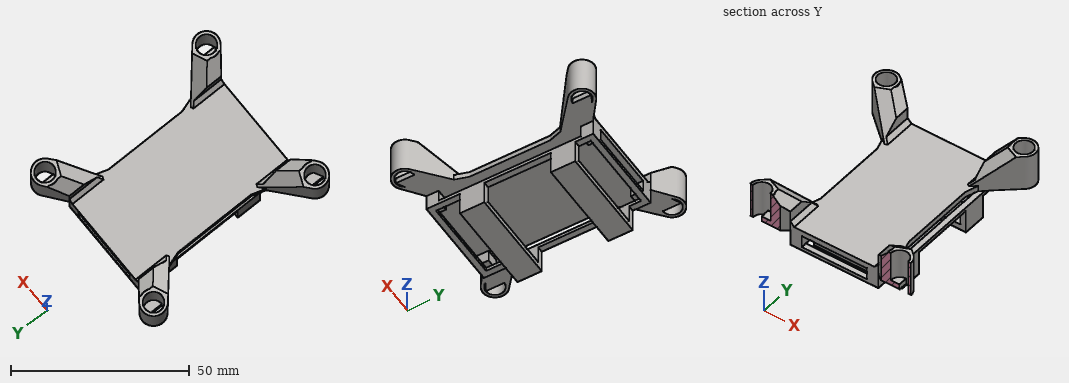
import cadquery as cq
import math

tray_width = 30.7
tray_length = 54.7
plate_thickness = 2.0
slot_height = 4.0
frame_thickness = 1.25
post_size = 4.0
rail_width = 2.0

strap_length = 8.0
strap_drop = 8.0
strap_wall = 2.0
rear_strap_inset = 5.9
strap_spacing = 29.8

overall_width = 56.1
overall_length = 66.1
tube_diameter = 8.0
tube_radius = tube_diameter / 2
hole_diameter = 6.0
tube_height = 12.0
arm_crest_offset = 3.7
arm_crest_setback = 2.8
arm_crest_skew = 0.43
arm_foot_x = 9.25
arm_foot_y = 13.2
strip_width = 1.4
web_start_y = 11.45
web_end_y = 15.85
web_overhang = 1.4

frame_bottom = strap_drop
slot_bottom = frame_bottom + frame_thickness
plate_bottom = slot_bottom + slot_height
plate_top = plate_bottom + plate_thickness
tube_top = plate_bottom + tube_height

tube_x = overall_width / 2 - tube_radius
tube_y = overall_length / 2 - tube_radius
edge_x = tray_width / 2
edge_y = tray_length / 2
strip_x = edge_x - strip_width
foot = (tube_x - arm_foot_x, tube_y - arm_foot_y)


def block(width, length, bottom, top):
    """Box centred on the Z axis between two heights."""
    return cq.Workplane("XY").workplane(offset=bottom).rect(width, length).extrude(top - bottom)


def make_tray():
    tray = block(tray_width, tray_length, frame_bottom, plate_top)
    tray = tray.cut(block(tray_width - 2 * post_size, tray_length, slot_bottom, plate_bottom))
    tray = tray.cut(block(tray_width, tray_length - 2 * post_size, slot_bottom, plate_bottom))
    opening_width = tray_width - 2 * rail_width
    opening_length = tray_length - 2 * rail_width
    opening = block(opening_width, opening_length, frame_bottom, slot_bottom)
    return tray.cut(opening)


def make_strap(center_y):
    strap = block(tray_width, strap_length, 0, frame_bottom)
    strap = strap.cut(block(tray_width - 2 * strap_wall, strap_length, strap_wall, frame_bottom))
    return strap.translate((0, center_y, 0))


def tangent_point(point, side):
    """Point where the line from the given point touches the tube, on the chosen side."""
    dx = point[0] - tube_x
    dy = point[1] - tube_y
    angle = math.atan2(dy, dx) + side * math.acos(tube_radius / math.hypot(dx, dy))
    return (tube_x + tube_radius * math.cos(angle), tube_y + tube_radius * math.sin(angle))


def make_arm():
    """Arm from the tube to the plate edge, with its top cut to the slopes."""
    outline = [
        tangent_point((edge_x, edge_y), -1),
        (edge_x, edge_y),
        (strip_x, edge_y),
        (strip_x, foot[1]),
        foot,
        tangent_point(foot, 1),
        (tube_x, tube_y),
    ]
    arm = cq.Workplane("XY").workplane(offset=plate_bottom).polyline(outline).close().extrude(tube_height)

    crest_x = tube_x - arm_crest_offset
    profile = [
        (crest_x, tube_top),
        (edge_x, tube_top - (crest_x - edge_x)),
        (edge_x, plate_top + strip_width),
        (strip_x, plate_top),
        (0, plate_top),
        (0, tube_top),
    ]
    clearance = cq.Workplane("XZ").polyline(profile).close().extrude(overall_length, both=True)
    arm = arm.cut(clearance)

    crest = cq.Vector(crest_x, tube_y - arm_crest_setback, tube_top)
    crest_edge = cq.Vector(1, -arm_crest_skew, 0)
    descent = cq.Vector(foot[0], foot[1], plate_top) - crest
    normal = crest_edge.cross(descent)
    if normal.z < 0:
        normal = -normal
    slope = cq.Plane(origin=crest, xDir=crest_edge, normal=normal)
    above = cq.Workplane(slope).rect(overall_length, overall_length).extrude(overall_length)
    return arm.cut(above)


def make_web():
    """Plate-thick web under the arm; it also closes the inner half of the hole."""
    outline = [
        (tube_x, tube_y + hole_diameter / 2),
        (edge_x, edge_y),
        (strip_x, edge_y),
        (strip_x, tube_y - web_end_y),
        (edge_x, tube_y - web_end_y),
        (edge_x + web_overhang, tube_y - web_start_y),
        (tube_x, tube_y - hole_diameter / 2),
    ]
    return cq.Workplane("XY").workplane(offset=plate_bottom).polyline(outline).close().extrude(plate_thickness)


def make_corner():
    base = cq.Workplane("XY", origin=(tube_x, tube_y, plate_bottom))
    tube = base.circle(tube_radius).extrude(tube_height)
    hole = base.circle(hole_diameter / 2).extrude(tube_height)
    return make_arm().union(tube).cut(hole).union(make_web())


result = make_tray()
rear_strap_y = edge_y - rear_strap_inset - strap_length / 2
for center_y in (rear_strap_y, rear_strap_y - strap_spacing):
    result = result.union(make_strap(center_y))

right_corner = make_corner()
left_corner = right_corner.mirror("YZ")
for corner in (right_corner, left_corner):
    result = result.union(corner).union(corner.mirror("XZ"))